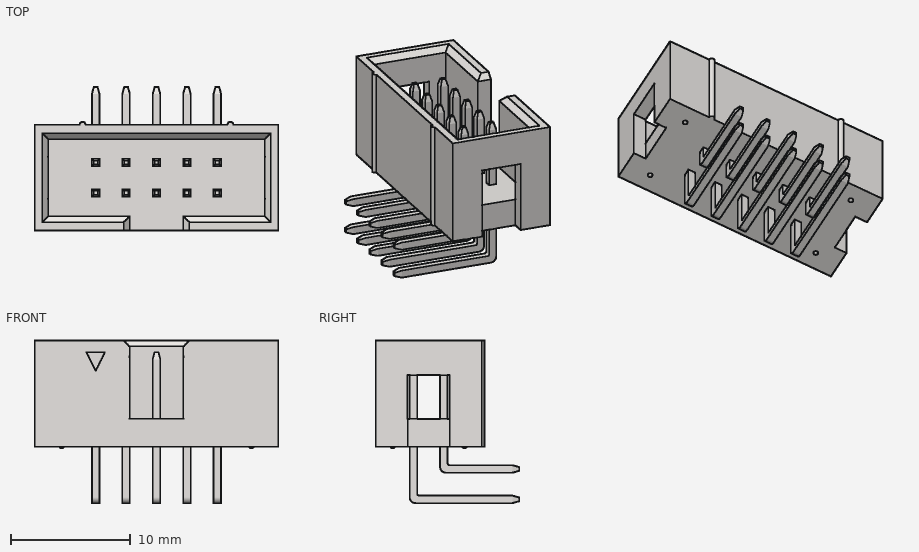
import cadquery as cq


PITCH = 2.54
COLUMNS = 5
PIN_SIZE = 0.65
PIN_TIP_SIZE = PIN_SIZE / 2
PIN_TIP_LENGTH = 0.58
BEND_OUTER_RADIUS = 0.5
BEND_INNER_RADIUS = 0.15
PIN_TOP_RECESS = 1.0
LEG_DROP = 4.7
PIN_REACH = 12.0

LENGTH = 20.35
WIDTH = 8.85
HEIGHT = 8.9
FLOOR_THICKNESS = 2.35
END_WALL = 1.125
SIDE_WALL = 1.2
RIM_CHAMFER = 0.5

NOTCH_WIDTH = 4.5

SLOT_WIDTH = 3.5
SLOT_TOP = 6.0

MARK_WIDTH = 1.54
MARK_HEIGHT = 1.54
MARK_TOP_RECESS = 1.0
MARK_DEPTH = 0.1

RIB_RADIUS = 0.25
RIB_INSET = 4.0
BUMP_RADIUS = 0.2
BUMP_HEIGHT = 0.1
BUMP_INSET = 2.25
BUMP_ROW_SPACING = 6.0

CAVITY_LENGTH = LENGTH - 2 * END_WALL
CAVITY_WIDTH = WIDTH - 2 * SIDE_WALL
FRONT_Y = -WIDTH / 2
REAR_Y = WIDTH / 2
FIRST_COLUMN_X = -PITCH * (COLUMNS - 1) / 2


def box(x_size, y_size, z_min, z_max, x=0, y=0):
    """Upright box centred on (x, y) between two heights."""
    return (
        cq.Workplane("XY", origin=(x, y, z_min))
        .rect(x_size, y_size)
        .extrude(z_max - z_min)
    )


def cavity():
    """Open-topped pocket that flares at the rim."""
    pocket = box(CAVITY_LENGTH, CAVITY_WIDTH, FLOOR_THICKNESS, HEIGHT)
    flare = (
        cq.Workplane("XY", origin=(0, 0, HEIGHT - RIM_CHAMFER))
        .rect(CAVITY_LENGTH, CAVITY_WIDTH)
        .workplane(offset=RIM_CHAMFER)
        .rect(CAVITY_LENGTH + 2 * RIM_CHAMFER, CAVITY_WIDTH + 2 * RIM_CHAMFER)
        .loft(ruled=True)
    )
    return pocket.union(flare)


def notch():
    """Key opening through the front wall, down to the floor, flared at the rim."""
    half = NOTCH_WIDTH / 2
    flare_z = HEIGHT - RIM_CHAMFER
    return (
        cq.Workplane("XZ")
        .moveTo(-half, FLOOR_THICKNESS)
        .lineTo(half, FLOOR_THICKNESS)
        .lineTo(half, flare_z)
        .lineTo(half + RIM_CHAMFER, HEIGHT)
        .lineTo(-half - RIM_CHAMFER, HEIGHT)
        .lineTo(-half, flare_z)
        .close()
        .extrude(WIDTH / 2)
    )


def pin_one_mark():
    """Shallow triangle in the front face, pointing down over the first column."""
    top = HEIGHT - MARK_TOP_RECESS
    return (
        cq.Workplane("XZ", origin=(FIRST_COLUMN_X, FRONT_Y + MARK_DEPTH, 0))
        .moveTo(-MARK_WIDTH / 2, top)
        .lineTo(MARK_WIDTH / 2, top)
        .lineTo(0, top - MARK_HEIGHT)
        .close()
        .extrude(MARK_DEPTH)
    )


def rib(x):
    """Half-round rib up the rear face; its inner half is buried in the wall."""
    return cq.Workplane("XY", origin=(x, REAR_Y, 0)).circle(RIB_RADIUS).extrude(HEIGHT)


def bump(x, y):
    """Domed standoff under the housing, a cap of a sphere."""
    sphere_radius = (BUMP_RADIUS**2 + BUMP_HEIGHT**2) / (2 * BUMP_HEIGHT)
    return cq.Workplane("XY", origin=(x, y, sphere_radius - BUMP_HEIGHT)).sphere(sphere_radius)


def housing():
    """Open-topped box with ribs, bumps, notch, pin 1 mark and end slots."""
    body = box(LENGTH, WIDTH, 0, HEIGHT)
    for side in (-1, 1):
        body = body.union(rib(side * (LENGTH / 2 - RIB_INSET)))
        bump_x = side * (LENGTH / 2 - BUMP_INSET)
        for row_side in (-1, 1):
            body = body.union(bump(bump_x, row_side * BUMP_ROW_SPACING / 2))
    body = body.cut(cavity()).cut(notch()).cut(pin_one_mark())
    for side in (-1, 1):
        slot_x = side * (LENGTH - END_WALL) / 2
        body = body.cut(box(END_WALL, SLOT_WIDTH, 0, SLOT_TOP, x=slot_x))
    return body


def tip(plane):
    """Tapered square pin end growing along the plane normal."""
    return (
        cq.Workplane(plane)
        .rect(PIN_SIZE, PIN_SIZE)
        .workplane(offset=PIN_TIP_LENGTH)
        .rect(PIN_TIP_SIZE, PIN_TIP_SIZE)
        .loft(ruled=True)
    )


def pin(x, y, leg_bottom):
    """Right-angle pin: upright at y, with a leg running back at leg_bottom."""
    half = PIN_SIZE / 2
    front = y - half
    back = y + half
    leg_top = leg_bottom + PIN_SIZE
    shoulder_z = HEIGHT - PIN_TOP_RECESS - PIN_TIP_LENGTH
    shoulder_y = FRONT_Y + PIN_REACH - PIN_TIP_LENGTH
    outer = BEND_OUTER_RADIUS
    inner = BEND_INNER_RADIUS
    bent_bar = (
        cq.Workplane("YZ", origin=(x - half, 0, 0))
        .moveTo(front, shoulder_z)
        .lineTo(front, leg_bottom + outer)
        .radiusArc((front + outer, leg_bottom), -outer)
        .lineTo(shoulder_y, leg_bottom)
        .lineTo(shoulder_y, leg_top)
        .lineTo(back + inner, leg_top)
        .radiusArc((back, leg_top + inner), inner)
        .lineTo(back, shoulder_z)
        .close()
        .extrude(PIN_SIZE)
    )
    upper_tip = tip(cq.Plane(origin=(x, y, shoulder_z), xDir=(1, 0, 0), normal=(0, 0, 1)))
    leg_centre = (x, shoulder_y, leg_bottom + half)
    leg_tip = tip(cq.Plane(origin=leg_centre, xDir=(1, 0, 0), normal=(0, 1, 0)))
    return bent_bar.union(upper_tip).union(leg_tip)


result = housing()
for column in range(COLUMNS):
    pin_x = FIRST_COLUMN_X + column * PITCH
    result = result.union(pin(pin_x, -PITCH / 2, -LEG_DROP))
    result = result.union(pin(pin_x, PITCH / 2, -LEG_DROP + PITCH))